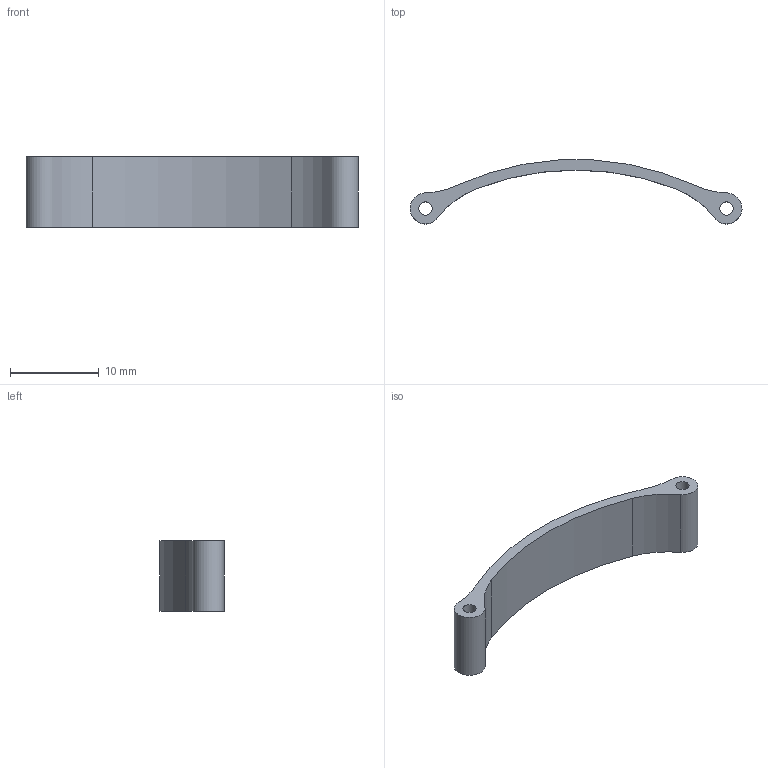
import cadquery as cq
import math

height = 8.0
hole_spacing = 34.0
ear_radius = 1.75
hole_diameter = 1.5
outer_radius = 32.2
band_thickness = 1.2
neck_radius = 10.0
overall_depth = 7.294

ear_x = hole_spacing / 2
ear_center = (ear_x, 0.0)
inner_radius = outer_radius - band_thickness
outer_crown_y = overall_depth - ear_radius
inner_crown_y = outer_crown_y - band_thickness
band_center = (0.0, outer_crown_y - outer_radius)


def point_toward(start, target, distance):
    """Point at a distance from start along the line to target."""
    ratio = distance / math.dist(start, target)
    return (
        start[0] + ratio * (target[0] - start[0]),
        start[1] + ratio * (target[1] - start[1]),
    )


def neck_center(band_distance):
    """Centre of the right-hand neck arc that touches the ear from outside.

    It lies at the given distance from the band centre, on the crown side of
    the line from the band centre to the ear.
    """
    ear_distance = ear_radius + neck_radius
    span = math.dist(band_center, ear_center)
    along = (band_distance**2 - ear_distance**2 + span**2) / (2 * span)
    across = math.sqrt(band_distance**2 - along**2)
    unit_x = (ear_center[0] - band_center[0]) / span
    unit_y = (ear_center[1] - band_center[1]) / span
    return (
        band_center[0] + along * unit_x - across * unit_y,
        band_center[1] + along * unit_y + across * unit_x,
    )


def neck_arc(center, band_radius):
    """Band end, middle and ear end of the right-hand neck arc."""
    band_end = point_toward(band_center, center, band_radius)
    ear_end = point_toward(ear_center, center, ear_radius)
    chord_middle = ((band_end[0] + ear_end[0]) / 2, (band_end[1] + ear_end[1]) / 2)
    middle = point_toward(center, chord_middle, neck_radius)
    return band_end, middle, ear_end


def mirrored(point):
    """Matching point on the left half of the part."""
    return (-point[0], point[1])


def make_strap():
    """Curved band that blends tangentially into a round ear at each end."""
    outer_neck = neck_center(outer_radius + neck_radius)
    inner_neck = neck_center(inner_radius - neck_radius)
    outer_band, outer_middle, outer_ear = neck_arc(outer_neck, outer_radius)
    inner_band, inner_middle, inner_ear = neck_arc(inner_neck, inner_radius)
    ear_tip = (ear_x + ear_radius, 0.0)

    return (
        cq.Workplane("XY")
        .moveTo(*mirrored(outer_band))
        .threePointArc((0.0, outer_crown_y), outer_band)
        .threePointArc(outer_middle, outer_ear)
        .threePointArc(ear_tip, inner_ear)
        .threePointArc(inner_middle, inner_band)
        .threePointArc((0.0, inner_crown_y), mirrored(inner_band))
        .threePointArc(mirrored(inner_middle), mirrored(inner_ear))
        .threePointArc(mirrored(ear_tip), mirrored(outer_ear))
        .threePointArc(mirrored(outer_middle), mirrored(outer_band))
        .close()
        .extrude(height)
    )


def make_holes():
    """Pin holes through both ears."""
    return (
        cq.Workplane("XY")
        .pushPoints([ear_center, mirrored(ear_center)])
        .circle(hole_diameter / 2)
        .extrude(height)
    )


result = make_strap().cut(make_holes())